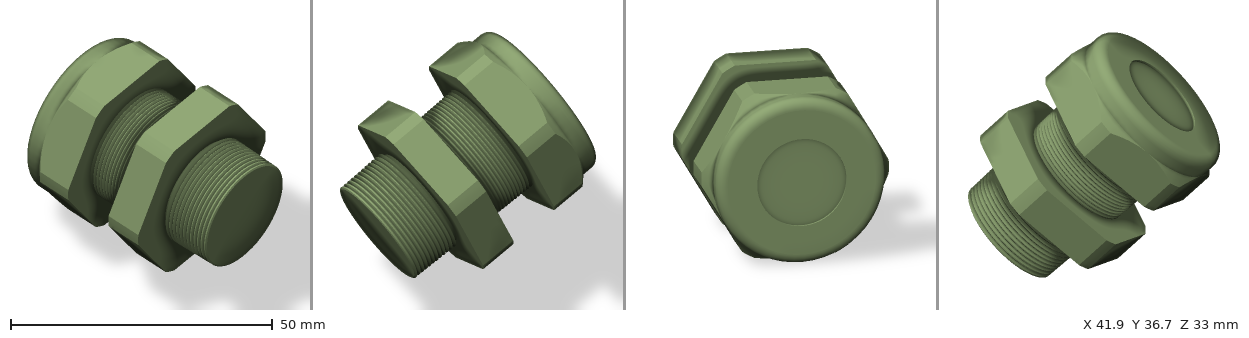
import cadquery as cq
import math

TOTAL_LENGTH = 41.9
CAP_HEX_START = 4.2
CAP_LENGTH = 13.15
FLANGE_START = 23.43
FLANGE_END = 31.0

ACROSS_FLATS = 33.03
ACROSS_ROUNDED_CORNERS = 36.65
FLAT_RADIUS = ACROSS_FLATS / 2
CORNER_RADIUS = ACROSS_ROUNDED_CORNERS / 2
ACROSS_SHARP_CORNERS = ACROSS_FLATS / math.cos(math.radians(30))

NOSE_FILLET = 2.0

SPIGOT_RADIUS = 9.0
RIM_WIDTH = 0.3
RECESS_DEPTH = 0.5

FLANK_SLOPE = math.tan(math.radians(60))
LAST_CREST_FLAT = 0.3

SHANK_ROOT_RADIUS = 11.27
SHANK_CREST_COUNT = 14
SHANK_PITCH = (FLANGE_START - CAP_LENGTH) / (SHANK_CREST_COUNT - 0.5)

NECK_FILLET = 0.9
TAIL_ROOT_RADIUS = 10.65
TAIL_CREST_COUNT = 12
TAIL_PITCH = 0.9


def x_cylinder(start, end, radius):
    return cq.Workplane("YZ", origin=(start, 0, 0)).circle(radius).extrude(end - start)


def rounded_hexagon(start, end):
    """Hexagonal prism along X whose corners are turned down to CORNER_RADIUS."""
    prism = cq.Workplane("YZ", origin=(start, 0, 0)).polygon(6, ACROSS_SHARP_CORNERS).extrude(end - start)
    return prism.intersect(x_cylinder(start, end, CORNER_RADIUS))


def thread_outline(first_crest, pitch, root_radius, crest_count):
    """Points from the first crest to the last one, with a V groove after each crest but the last."""
    sharp_radius = root_radius + FLANK_SLOPE * pitch / 2
    points = [(first_crest, sharp_radius)]
    for index in range(1, crest_count):
        crest = first_crest + index * pitch
        half_flat = LAST_CREST_FLAT / 2 * index / (crest_count - 1)
        crest_radius = sharp_radius - FLANK_SLOPE * half_flat
        points.append((crest - pitch / 2, root_radius))
        points.append((crest - half_flat, crest_radius))
        points.append((crest + half_flat, crest_radius))
    return points


def revolve_about_x(outline):
    return outline.close().revolve(360, (0, 0, 0), (1, 0, 0))


def make_cap_nut():
    nose = x_cylinder(0, CAP_HEX_START, FLAT_RADIUS).faces("<X").edges().fillet(NOSE_FILLET)

    cone_rise = CAP_LENGTH - CAP_HEX_START
    trim_cone = revolve_about_x(
        cq.Workplane("XY")
        .moveTo(CAP_HEX_START, 0)
        .lineTo(CAP_HEX_START, FLAT_RADIUS)
        .lineTo(CAP_LENGTH, FLAT_RADIUS + cone_rise)
        .lineTo(CAP_LENGTH, 0)
    )
    hexagon = rounded_hexagon(CAP_HEX_START, CAP_LENGTH).intersect(trim_cone)

    spigot_bore = x_cylinder(0, CAP_LENGTH, SPIGOT_RADIUS)
    return nose.union(hexagon).cut(spigot_bore)


def make_shank():
    """Threaded length between the cap nut and the flange."""
    thread = thread_outline(CAP_LENGTH, SHANK_PITCH, SHANK_ROOT_RADIUS, SHANK_CREST_COUNT)
    return revolve_about_x(
        cq.Workplane("XY")
        .moveTo(CAP_LENGTH, 0)
        .lineTo(*thread[0])
        .polyline(thread[1:], includeCurrent=True)
        .lineTo(FLANGE_START, SHANK_ROOT_RADIUS)
        .lineTo(FLANGE_START, 0)
    )


def make_tail():
    """Neck and threaded length behind the flange."""
    first_crest = FLANGE_END + NECK_FILLET
    thread = thread_outline(first_crest, TAIL_PITCH, TAIL_ROOT_RADIUS, TAIL_CREST_COUNT)
    neck_crest_radius = thread[0][1]
    neck_radius = neck_crest_radius - NECK_FILLET
    arc_middle = (
        FLANGE_END + NECK_FILLET * math.sin(math.radians(45)),
        neck_crest_radius - NECK_FILLET * math.cos(math.radians(45)),
    )
    last_crest_end, last_crest_radius = thread[-1]
    end_radius = last_crest_radius - FLANK_SLOPE * (TOTAL_LENGTH - last_crest_end)
    return revolve_about_x(
        cq.Workplane("XY")
        .moveTo(FLANGE_END, 0)
        .lineTo(FLANGE_END, neck_radius)
        .threePointArc(arc_middle, thread[0])
        .polyline(thread[1:], includeCurrent=True)
        .lineTo(TOTAL_LENGTH, end_radius)
        .lineTo(TOTAL_LENGTH, 0)
    )


def make_gland_body():
    recess = x_cylinder(0, RECESS_DEPTH, SPIGOT_RADIUS - RIM_WIDTH)
    spigot = x_cylinder(0, CAP_LENGTH, SPIGOT_RADIUS).cut(recess)
    flange = rounded_hexagon(FLANGE_START, FLANGE_END)
    return spigot.union(make_shank()).union(flange).union(make_tail())


cap_nut = make_cap_nut()
gland_body = make_gland_body()

result = cq.Compound.makeCompound([*cap_nut.solids().vals(), *gland_body.solids().vals()])